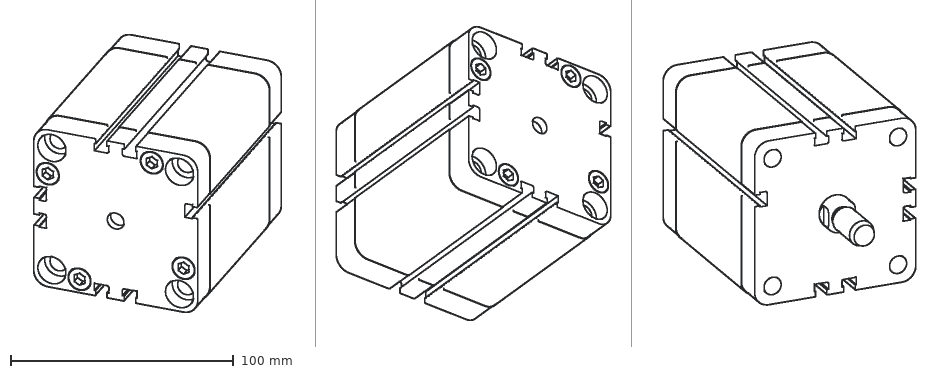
import cadquery as cq
import math

TOTAL_LENGTH = 131.5
HOUSING_LENGTH = 100.0
END_CAP_LENGTH = 14.3
TUBE_SIDE = 80.0
CAP_SIDE = 79.4
CAP_CORNER_RADIUS = 7.0
TUBE_CORNER_RADIUS = CAP_CORNER_RADIUS + (TUBE_SIDE - CAP_SIDE) / 2

SLOT_DEPTH = 6.5
SLOT_LIP_DEPTH = 2.9
SLOT_WIDTH = 7.0
SLOT_NEAR_LIP = 0.9
SLOT_FAR_LIP = 0.5
SLOT_CORNER_RADIUS = 1.0
MOUTH_RADIUS = 0.46
PAIR_SLOT_EDGE = 3.3
SINGLE_SLOT_EDGE = 15.4

MOUNT_OFFSET = 30.9
MOUNT_DIAMETER = 8.4
MOUNT_BORE_DIAMETER = 13.5
MOUNT_BORE_DEPTH = 8.2

SCREW_FAR_OFFSET = 32.9
SCREW_NEAR_OFFSET = 17.5
SCREW_RECESS_DIAMETER = 11.0
SCREW_HEAD_DIAMETER = 10.5
SCREW_GAP_DEPTH = 5.3
SOCKET_WIDTH = 5.3
SOCKET_DEPTH = 4.0

CENTER_HOLE_DIAMETER = 8.0
CENTER_HOLE_DEPTH = 4.0

ROD_DIAMETER = 16.0
ROD_SHOULDER_RADIUS = 1.6
FLAT_WIDTH = 13.2
FLAT_LENGTH = 5.7
THREAD_DIAMETER = 12.0
THREAD_LENGTH = 21.0
THREAD_TAPER_LENGTH = 2.9
TIP_DIAMETER = 10.0
NECK_DIAMETER = 10.0
NECK_LENGTH = 3.2
NECK_TAPER_LENGTH = 0.7

ROD_SHOULDER_Y = TOTAL_LENGTH - THREAD_LENGTH - NECK_LENGTH


def cylinder(diameter, y, length, x=0.0, z=0.0):
    axis = cq.Vector(0, 1, 0)
    return cq.Workplane(cq.Solid.makeCylinder(diameter / 2, length, cq.Vector(x, y, z), axis))


def turned(shape, angle):
    """Turn about the cylinder axis; positive angles carry +Z toward +X."""
    return shape.rotate((0, 0, 0), (0, 1, 0), angle)


def slot(side, y_start, y_end, near_edge, direction):
    """Slot in the +Z side of a block; the channel runs from near_edge along X in the given direction."""
    def point(distance, z):
        return near_edge + direction * distance, z

    top = side / 2
    lip_z = TUBE_SIDE / 2 - SLOT_LIP_DEPTH
    floor_z = TUBE_SIDE / 2 - SLOT_DEPTH
    near_mouth = SLOT_NEAR_LIP
    far_mouth = SLOT_WIDTH - SLOT_FAR_LIP
    mouth_inset = MOUTH_RADIUS * (1 - math.sqrt(0.5))
    corner_inset = SLOT_CORNER_RADIUS * (1 - math.sqrt(0.5))

    outline = cq.Workplane("XZ", origin=(0, y_start, 0)).moveTo(*point(near_mouth - MOUTH_RADIUS, top))
    outline = outline.threePointArc(
        point(near_mouth - mouth_inset, top - mouth_inset),
        point(near_mouth, top - MOUTH_RADIUS),
    )
    outline = outline.lineTo(*point(near_mouth, lip_z)).lineTo(*point(0, lip_z))
    outline = outline.lineTo(*point(0, floor_z + SLOT_CORNER_RADIUS))
    outline = outline.threePointArc(
        point(corner_inset, floor_z + corner_inset),
        point(SLOT_CORNER_RADIUS, floor_z),
    )
    outline = outline.lineTo(*point(SLOT_WIDTH, floor_z)).lineTo(*point(SLOT_WIDTH, lip_z))
    outline = outline.lineTo(*point(far_mouth, lip_z)).lineTo(*point(far_mouth, top - MOUTH_RADIUS))
    outline = outline.threePointArc(
        point(far_mouth + mouth_inset, top - mouth_inset),
        point(far_mouth + MOUTH_RADIUS, top),
    )
    return outline.close().extrude(y_start - y_end)


def slotted_block(side, corner_radius, y_start, y_end):
    """Rounded square block with slot pairs on the +Z, -Z and -X sides and one slot on the +X side."""
    block = cq.Workplane().box(side, y_end - y_start, side).edges("|Y").fillet(corner_radius)
    block = block.translate((0, (y_start + y_end) / 2, 0))
    for angle in (0, 180, 270):
        for direction in (1, -1):
            pair_slot = slot(side, y_start, y_end, direction * PAIR_SLOT_EDGE, direction)
            block = block.cut(turned(pair_slot, angle))
    single_slot = slot(side, y_start, y_end, -SINGLE_SLOT_EDGE, 1)
    return block.cut(turned(single_slot, 90))


def housing():
    tube_start = END_CAP_LENGTH
    tube_end = HOUSING_LENGTH - END_CAP_LENGTH
    rear_cap = slotted_block(CAP_SIDE, CAP_CORNER_RADIUS, 0, tube_start)
    tube = slotted_block(TUBE_SIDE, TUBE_CORNER_RADIUS, tube_start, tube_end)
    front_cap = slotted_block(CAP_SIDE, CAP_CORNER_RADIUS, tube_end, HOUSING_LENGTH)
    return rear_cap.union(tube).union(front_cap)


def cut_mounting_holes(body):
    for x in (-MOUNT_OFFSET, MOUNT_OFFSET):
        for z in (-MOUNT_OFFSET, MOUNT_OFFSET):
            body = body.cut(cylinder(MOUNT_DIAMETER, 0, HOUSING_LENGTH, x, z))
            body = body.cut(cylinder(MOUNT_BORE_DIAMETER, 0, MOUNT_BORE_DEPTH, x, z))
    return body


def cut_screw_details(body):
    """Ring gap around each screw head, and its hexagonal socket with corners up and down."""
    socket_diameter = 2 * SOCKET_WIDTH / math.sqrt(3)
    upright_turn = 30
    positions = [
        (SCREW_NEAR_OFFSET, SCREW_FAR_OFFSET),
        (SCREW_FAR_OFFSET, -SCREW_NEAR_OFFSET),
        (-SCREW_NEAR_OFFSET, -SCREW_FAR_OFFSET),
        (-SCREW_FAR_OFFSET, SCREW_NEAR_OFFSET),
    ]
    for x, z in positions:
        recess = cylinder(SCREW_RECESS_DIAMETER, 0, SCREW_GAP_DEPTH, x, z)
        gap = recess.cut(cylinder(SCREW_HEAD_DIAMETER, 0, SCREW_GAP_DEPTH, x, z))
        socket = cq.Workplane("XZ").polygon(6, socket_diameter).extrude(-SOCKET_DEPTH)
        socket = turned(socket, upright_turn).translate((x, 0, z))
        body = body.cut(gap).cut(socket)
    return body


def piston_rod():
    rod_radius = ROD_DIAMETER / 2
    neck_radius = NECK_DIAMETER / 2
    thread_radius = THREAD_DIAMETER / 2
    thread_start = TOTAL_LENGTH - THREAD_LENGTH
    shoulder_inset = ROD_SHOULDER_RADIUS * (1 - math.sqrt(0.5))

    profile = cq.Workplane("XY").moveTo(0, HOUSING_LENGTH).lineTo(rod_radius, HOUSING_LENGTH)
    profile = profile.lineTo(rod_radius, ROD_SHOULDER_Y - ROD_SHOULDER_RADIUS)
    profile = profile.threePointArc(
        (rod_radius - shoulder_inset, ROD_SHOULDER_Y - shoulder_inset),
        (rod_radius - ROD_SHOULDER_RADIUS, ROD_SHOULDER_Y),
    )
    profile = profile.lineTo(neck_radius, ROD_SHOULDER_Y)
    profile = profile.lineTo(neck_radius, thread_start - NECK_TAPER_LENGTH)
    profile = profile.lineTo(thread_radius, thread_start)
    profile = profile.lineTo(thread_radius, TOTAL_LENGTH - THREAD_TAPER_LENGTH)
    profile = profile.lineTo(TIP_DIAMETER / 2, TOTAL_LENGTH).lineTo(0, TOTAL_LENGTH)
    rod = profile.close().revolve(360, (0, 0, 0), (0, 1, 0))
    return cut_wrench_flats(rod)


def cut_wrench_flats(rod):
    """Two flats facing -X and +X, each running out to the full rod at 45 degrees."""
    flat_x = FLAT_WIDTH / 2
    outer_x = ROD_DIAMETER / 2
    flat_start = ROD_SHOULDER_Y - FLAT_LENGTH
    outline = [
        (flat_x, ROD_SHOULDER_Y),
        (flat_x, flat_start),
        (outer_x, flat_start - (outer_x - flat_x)),
        (outer_x, ROD_SHOULDER_Y),
    ]
    flat = cq.Workplane("XY").polyline(outline).close().extrude(outer_x, both=True)
    return rod.cut(flat).cut(flat.mirror("YZ"))


body = cut_mounting_holes(housing())
body = cut_screw_details(body)
body = body.cut(cylinder(CENTER_HOLE_DIAMETER, 0, CENTER_HOLE_DEPTH))
result = body.union(piston_rod())